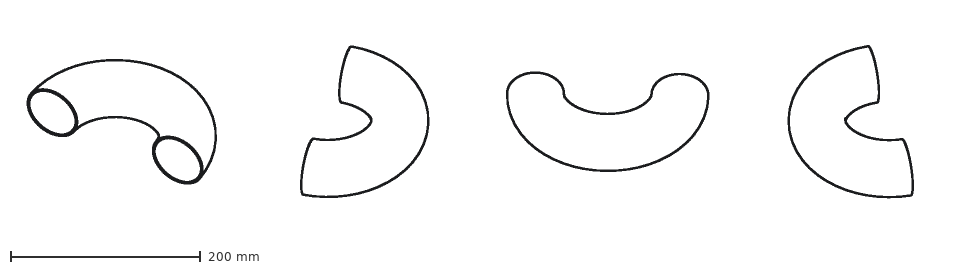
import cadquery as cq

overall_width = 212.3
pipe_diameter = 60.3
wall_thickness = 2.0
bend_angle = 180.0

pipe_radius = pipe_diameter / 2
bore_radius = pipe_radius - wall_thickness
bend_radius = overall_width / 2 - pipe_radius

pipe_section = (
    cq.Workplane("XZ")
    .center(-bend_radius, 0)
    .circle(pipe_radius)
    .circle(bore_radius)
)

result = pipe_section.revolve(
    bend_angle,
    axisStart=(bend_radius, 0),
    axisEnd=(bend_radius, -1),
)